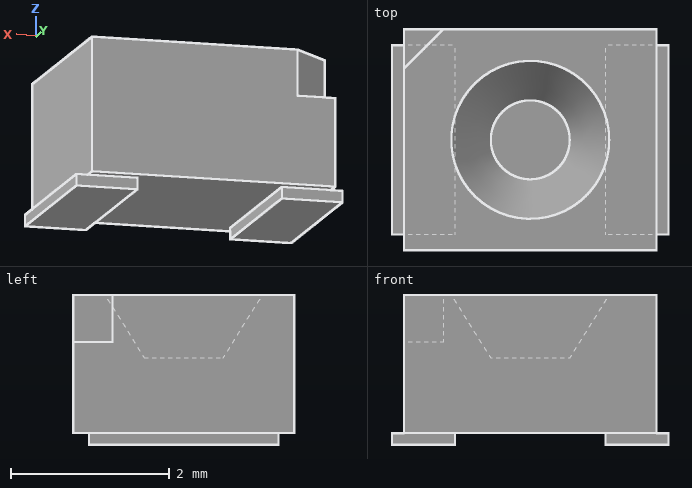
import cadquery as cq

overall_length = 3.5
overall_height = 1.9

body_length = 3.2
body_width = 2.8
pad_thickness = 0.15
body_height = overall_height - pad_thickness

pad_length = 0.8
pad_width = 2.4

cup_top_diameter = 2.0
cup_floor_diameter = 1.0
cup_depth = 0.8

notch_leg = 0.5
notch_depth = 0.6


def make_body():
    """Rectangular housing standing on top of the pads."""
    return (
        cq.Workplane("XY")
        .workplane(offset=pad_thickness)
        .rect(body_length, body_width)
        .extrude(body_height)
    )


def make_pad(side):
    """Flat pad reaching in from the -X (side = -1) or +X (side = 1) end."""
    center_x = side * (overall_length - pad_length) / 2
    return (
        cq.Workplane("XY")
        .center(center_x, 0)
        .rect(pad_length, pad_width)
        .extrude(pad_thickness)
    )


def make_cup():
    """Truncated cone that narrows from the top face to a flat floor."""
    cone = cq.Solid.makeCone(
        cup_floor_diameter / 2,
        cup_top_diameter / 2,
        cup_depth,
        pnt=cq.Vector(0, 0, overall_height - cup_depth),
    )
    return cq.Workplane(obj=cone)


def make_notch():
    """Triangular prism removed from the marked corner."""
    corner_x = -body_length / 2
    corner_y = body_width / 2
    return (
        cq.Workplane("XY")
        .workplane(offset=overall_height - notch_depth)
        .moveTo(corner_x, corner_y)
        .lineTo(corner_x + notch_leg, corner_y)
        .lineTo(corner_x, corner_y - notch_leg)
        .close()
        .extrude(notch_depth)
    )


result = make_body().cut(make_cup()).cut(make_notch())
for pad_side in (-1, 1):
    result = result.union(make_pad(pad_side))